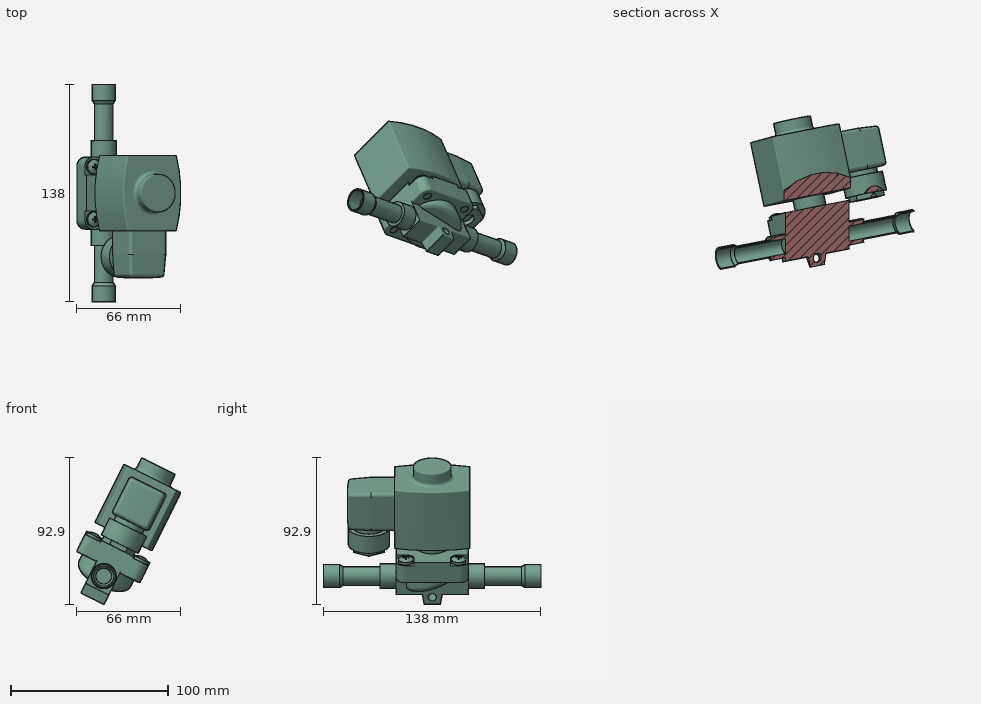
import cadquery as cq
import math

TILT = 26.5

PIPE_HALF_LENGTH = 69.0
CUP_DIAMETER = 14.8
CUP_BORE = 12.8
CUP_LENGTH = 10.2
CUP_TAPER_LENGTH = 2.2
PIPE_DIAMETER = 12.0
PIPE_BORE = 10.0
COLLAR_DIAMETER = 16.0
COLLAR_END = 33.3

BODY_HALF_WIDTH = 22.9
BLOCK_HALF_DEPTH = 8.3
BLOCK_BOTTOM = -9.2
LUG_BOTTOM = -16.1
LUG_TOP_WIDTH = 12.7
LUG_BOTTOM_WIDTH = 10.5
LUG_ROUND = 0.7
LUG_HOLE = 5.2
LUG_HOLE_HEIGHT = -10.9

CHAMBER_DIAMETER = 36.7
CHAMBER_SLOPE = 20.5
CHAMBER_MIDDLE = -1.5
CHAMBER_ROUND = 3.3

FLANGE_HALF_DEPTH = 22.5
FLANGE_BOTTOM = 6.2
FLANGE_TOP = 20.7
FLANGE_CORNER = 6.0
FLANGE_BOTTOM_ROUND = 0.8
SEAT_HEIGHT = 18.5
SEAT_RADIUS = 5.2
SCREW_OFFSET = 16.7
SCREW_HEAD_DIAMETER = 9.5
SCREW_EDGE_HEIGHT = 1.8
SCREW_HEAD_HEIGHT = 3.5
CROSS_LENGTH = 3.6
CROSS_WIDTH = 0.7
CROSS_DEPTH = 1.1
SCREW_TIP_DIAMETER = 5.2
SCREW_TIP_RECESS = 0.3

STEM_DIAMETER = 20.0
COIL_BOTTOM = 27.9
COIL_TOP = 69.3
COIL_HALF_WIDTH = 23.9
COIL_EDGE_HALF_DEPTH = 17.1
COIL_MIDDLE_HALF_DEPTH = 20.4
COIL_ROUND = 0.7
CAP_DIAMETER = 24.0
CAP_TOP = 78.0
CAP_ROUND = 0.5
CAP_BASE_FILLET = 2.1

PLUG_HALF_DEPTH = 13.1
PLUG_SHIFT = -0.3
PLUG_BOTTOM = 37.8
PLUG_TOP = 64.3
PLUG_STRAIGHT_END = 38.9
PLUG_END = 53.8
PLUG_SIDE_TAPER = 1.1
PLUG_TOP_TAPER = 1.0
PLUG_BOTTOM_TAPER = 0.3
PLUG_END_BULGE = 0.8
PLUG_ROUND = 2.2

GLAND_OFFSET = 40.2
GLAND_NECK_DIAMETER = 20.0
GLAND_DIAMETER = 26.4
GLAND_TOP = 34.6
GLAND_BOTTOM = 22.6
HEX_ACROSS_CORNERS = 22.5
HEX_BOTTOM = 19.6
CABLE_HOLE = 9.5


def disc(diameter, bottom, top, x=0, y=0):
    """Upright cylinder between two heights."""
    return cq.Workplane("XY", origin=(x, y, bottom)).circle(diameter / 2).extrude(top - bottom)


def block(half_depth, half_width, bottom, top):
    """Box centred on the solenoid axis, between two heights."""
    return (
        cq.Workplane("XY", origin=(0, 0, bottom))
        .rect(2 * half_depth, 2 * half_width)
        .extrude(top - bottom)
    )


def pipe_end():
    """Collar, tube and flared cup towards +Y, bored from its mouth to the block."""
    cup_start = PIPE_HALF_LENGTH - CUP_LENGTH
    taper_start = cup_start - CUP_TAPER_LENGTH
    points = [
        (0, 0),
        (COLLAR_DIAMETER / 2, 0),
        (COLLAR_DIAMETER / 2, COLLAR_END),
        (PIPE_DIAMETER / 2, COLLAR_END),
        (PIPE_DIAMETER / 2, taper_start),
        (CUP_DIAMETER / 2, cup_start),
        (CUP_DIAMETER / 2, PIPE_HALF_LENGTH),
        (CUP_BORE / 2, PIPE_HALF_LENGTH),
        (CUP_BORE / 2, cup_start),
        (PIPE_BORE / 2, taper_start),
        (PIPE_BORE / 2, BODY_HALF_WIDTH),
        (0, BODY_HALF_WIDTH),
    ]
    return cq.Workplane("XY").polyline(points).close().revolve(360, (0, 0, 0), (0, 1, 0))


def valve_block():
    """Block and tapered lug as one profile; the lower rims of its -X and +X faces are rounded."""
    profile = [
        (-BODY_HALF_WIDTH, SEAT_HEIGHT),
        (-BODY_HALF_WIDTH, BLOCK_BOTTOM),
        (-LUG_TOP_WIDTH / 2, BLOCK_BOTTOM),
        (-LUG_BOTTOM_WIDTH / 2, LUG_BOTTOM),
        (LUG_BOTTOM_WIDTH / 2, LUG_BOTTOM),
        (LUG_TOP_WIDTH / 2, BLOCK_BOTTOM),
        (BODY_HALF_WIDTH, BLOCK_BOTTOM),
        (BODY_HALF_WIDTH, SEAT_HEIGHT),
    ]
    body = (
        cq.Workplane("YZ", origin=(-BLOCK_HALF_DEPTH, 0, 0))
        .polyline(profile)
        .close()
        .extrude(2 * BLOCK_HALF_DEPTH)
    )
    lug_root = cq.selectors.BoxSelector(
        (-BLOCK_HALF_DEPTH, -LUG_TOP_WIDTH, BLOCK_BOTTOM - LUG_ROUND),
        (BLOCK_HALF_DEPTH, LUG_TOP_WIDTH, BLOCK_BOTTOM + LUG_ROUND),
    )
    body = body.edges("|X").edges(lug_root).fillet(LUG_ROUND)
    lower_rim = cq.selectors.BoxSelector(
        (-BODY_HALF_WIDTH, -BODY_HALF_WIDTH, LUG_BOTTOM - LUG_ROUND),
        (BODY_HALF_WIDTH, BODY_HALF_WIDTH, BLOCK_BOTTOM + LUG_ROUND),
    )
    body = body.faces("<X or >X").edges(lower_rim).fillet(LUG_ROUND)
    hole = (
        cq.Workplane("YZ", origin=(-BLOCK_HALF_DEPTH, 0, LUG_HOLE_HEIGHT))
        .circle(LUG_HOLE / 2)
        .extrude(2 * BLOCK_HALF_DEPTH)
    )
    return body.cut(hole)


def chamber():
    """Round chamber whose underside slopes down towards -Y."""
    reach = CHAMBER_DIAMETER
    drop = reach * math.tan(math.radians(CHAMBER_SLOPE))
    below = (
        cq.Workplane("YZ", origin=(-reach, 0, 0))
        .moveTo(-reach, CHAMBER_MIDDLE - drop)
        .lineTo(reach, CHAMBER_MIDDLE + drop)
        .lineTo(reach, -reach)
        .lineTo(-reach, -reach)
        .close()
        .extrude(2 * reach)
    )
    sloped = disc(CHAMBER_DIAMETER, -reach, SEAT_HEIGHT).cut(below)
    return sloped.faces("<Z").edges().fillet(CHAMBER_ROUND)


def screw_head():
    """Domed, cross-slotted head standing on the XY plane."""
    radius = SCREW_HEAD_DIAMETER / 2
    dome_rise = SCREW_HEAD_HEIGHT - SCREW_EDGE_HEIGHT
    dome_radius = (radius**2 + dome_rise**2) / (2 * dome_rise)
    dome = cq.Workplane("XY").sphere(dome_radius).translate((0, 0, SCREW_HEAD_HEIGHT - dome_radius))
    head = disc(SCREW_HEAD_DIAMETER, 0, SCREW_HEAD_HEIGHT).intersect(dome)
    slots = cq.Workplane("XY", origin=(0, 0, SCREW_HEAD_HEIGHT - CROSS_DEPTH))
    for length, width in ((CROSS_LENGTH, CROSS_WIDTH), (CROSS_WIDTH, CROSS_LENGTH)):
        head = head.cut(slots.rect(length, width).extrude(CROSS_DEPTH))
    return head


def flange():
    """Flange plate with a seat and a screw at each corner."""
    plate = (
        block(FLANGE_HALF_DEPTH, BODY_HALF_WIDTH, FLANGE_BOTTOM, FLANGE_TOP)
        .edges("|Z")
        .fillet(FLANGE_CORNER)
        .faces("<Z")
        .edges()
        .fillet(FLANGE_BOTTOM_ROUND)
    )
    seat_size = 2 * SEAT_RADIUS
    seat_depth = FLANGE_TOP - SEAT_HEIGHT
    for x_side in (-1, 1):
        for y_side in (-1, 1):
            x = x_side * SCREW_OFFSET
            y = y_side * SCREW_OFFSET
            center = cq.Workplane("XY", origin=(x, y, SEAT_HEIGHT))
            seat = disc(seat_size, SEAT_HEIGHT, FLANGE_TOP, x, y)
            for shift in ((x_side * SEAT_RADIUS, 0), (0, y_side * SEAT_RADIUS)):
                seat = seat.union(center.center(*shift).rect(seat_size, seat_size).extrude(seat_depth))
            tip = disc(SCREW_TIP_DIAMETER, FLANGE_BOTTOM, FLANGE_BOTTOM + SCREW_TIP_RECESS, x, y)
            plate = plate.cut(seat).cut(tip)
            plate = plate.union(screw_head().translate((x, y, SEAT_HEIGHT)))
    return plate


def coil():
    """Stem, coil housing with bowed sides, and round cap."""
    housing = (
        cq.Workplane("XY", origin=(0, 0, COIL_BOTTOM))
        .moveTo(-COIL_EDGE_HALF_DEPTH, -COIL_HALF_WIDTH)
        .lineTo(COIL_EDGE_HALF_DEPTH, -COIL_HALF_WIDTH)
        .threePointArc((COIL_MIDDLE_HALF_DEPTH, 0), (COIL_EDGE_HALF_DEPTH, COIL_HALF_WIDTH))
        .lineTo(-COIL_EDGE_HALF_DEPTH, COIL_HALF_WIDTH)
        .threePointArc((-COIL_MIDDLE_HALF_DEPTH, 0), (-COIL_EDGE_HALF_DEPTH, -COIL_HALF_WIDTH))
        .close()
        .extrude(COIL_TOP - COIL_BOTTOM)
        .edges()
        .fillet(COIL_ROUND)
    )
    radius = CAP_DIAMETER / 2
    cap = (
        cq.Workplane("XZ")
        .moveTo(0, COIL_TOP)
        .lineTo(radius + CAP_BASE_FILLET, COIL_TOP)
        .radiusArc((radius, COIL_TOP + CAP_BASE_FILLET), CAP_BASE_FILLET)
        .lineTo(radius, CAP_TOP)
        .lineTo(0, CAP_TOP)
        .close()
        .revolve(360, (0, 0, 0), (0, 1, 0))
        .faces(">Z")
        .edges()
        .fillet(CAP_ROUND)
    )
    stem = disc(STEM_DIAMETER, FLANGE_TOP, COIL_BOTTOM)
    return housing.union(cap).union(stem)


def plug_outline(y, side_inset=0, top_inset=0, bottom_inset=0):
    """Rectangular plug outline at the given distance towards -Y, drawn in X and Z."""
    half_depth = PLUG_HALF_DEPTH - side_inset
    bottom = PLUG_BOTTOM + bottom_inset
    top = PLUG_TOP - top_inset
    corners = [(-half_depth, bottom), (half_depth, bottom), (half_depth, top), (-half_depth, top)]
    return cq.Workplane("XZ", origin=(0, -y, 0)).polyline(corners).close()


def plug():
    """Plug body: straight, then tapered, ending in a slightly bowed face."""
    straight_length = PLUG_STRAIGHT_END - COIL_HALF_WIDTH
    straight = plug_outline(COIL_HALF_WIDTH).extrude(straight_length)
    straight = straight.edges("|Y").fillet(PLUG_ROUND)

    start = plug_outline(PLUG_STRAIGHT_END)
    end = plug_outline(PLUG_END, PLUG_SIDE_TAPER, PLUG_TOP_TAPER, PLUG_BOTTOM_TAPER)
    tapered = cq.Workplane(cq.Solid.makeLoft([start.val(), end.val()], True))
    bow_edge = PLUG_END - PLUG_END_BULGE
    bowed = (
        cq.Workplane("XY", origin=(0, 0, PLUG_BOTTOM))
        .moveTo(-PLUG_HALF_DEPTH, -PLUG_STRAIGHT_END)
        .lineTo(-PLUG_HALF_DEPTH, -bow_edge)
        .threePointArc((0, -PLUG_END), (PLUG_HALF_DEPTH, -bow_edge))
        .lineTo(PLUG_HALF_DEPTH, -PLUG_STRAIGHT_END)
        .close()
        .extrude(PLUG_TOP - PLUG_BOTTOM)
    )
    tapered = tapered.intersect(bowed).edges("not(>Y)").fillet(PLUG_ROUND)
    return straight.union(tapered).translate((PLUG_SHIFT, 0, 0))


def cable_gland():
    """Neck, round nut and hexagon, with the cable hole through the hexagon."""
    neck = disc(GLAND_NECK_DIAMETER, GLAND_TOP, PLUG_BOTTOM + PLUG_ROUND, 0, -GLAND_OFFSET)
    nut = disc(GLAND_DIAMETER, GLAND_BOTTOM, GLAND_TOP, 0, -GLAND_OFFSET)
    hexagon = (
        cq.Workplane("XY", origin=(0, -GLAND_OFFSET, HEX_BOTTOM))
        .polygon(6, HEX_ACROSS_CORNERS)
        .extrude(GLAND_BOTTOM - HEX_BOTTOM)
    )
    hole = disc(CABLE_HOLE, HEX_BOTTOM, GLAND_BOTTOM, 0, -GLAND_OFFSET)
    return neck.union(nut).union(hexagon).cut(hole)


far_pipe = pipe_end()
near_pipe = far_pipe.mirror("XZ")
valve = valve_block()
for piece in (chamber(), flange(), coil(), plug(), cable_gland(), far_pipe, near_pipe):
    valve = valve.union(piece)
result = valve.rotate((0, 0, 0), (0, 1, 0), TILT)